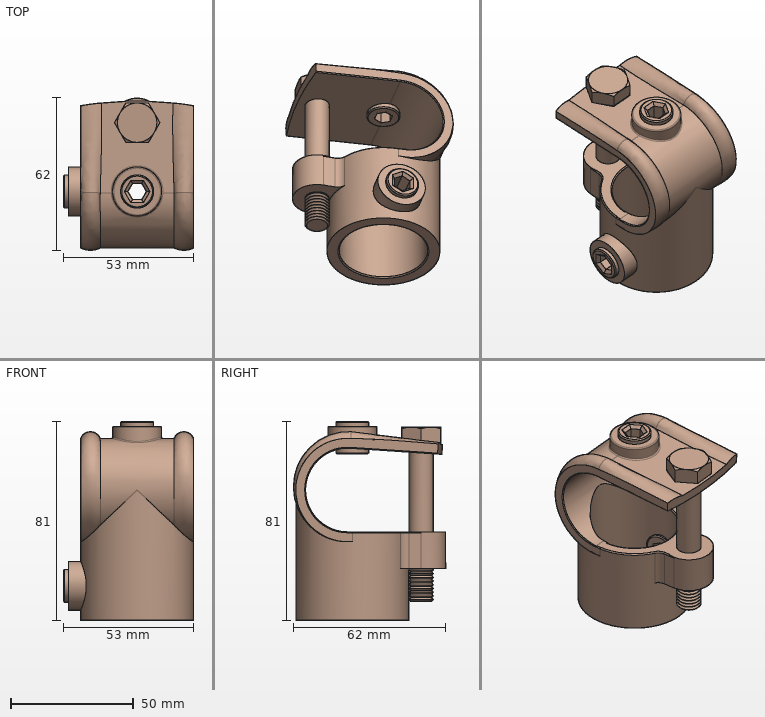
import cadquery as cq
import math

TUBE_OD = 46.0
TUBE_BORE = 36.0
TUBE_HEIGHT = 36.0
EDGE_CHAMFER = 0.5

STRAP_THICKNESS = 4.0
STRAP_INNER_RADIUS = 17.0
STRAP_OUTER_RADIUS = STRAP_INNER_RADIUS + STRAP_THICKNESS
STRAP_HALF_WIDTH = TUBE_OD / 2
STRAP_CENTER_Y = STRAP_OUTER_RADIUS - TUBE_OD / 2
STRAP_CENTER_Z = TUBE_HEIGHT + STRAP_INNER_RADIUS
TONGUE_SLOPE = math.radians(3.8)
TONGUE_TIP_Y = 36.8
TONGUE_TIP_RADIUS = 140.0
TRIM_ALLOWANCE = 5.0
BORE_EDGE_CHAMFER = 0.4

BEAD_WIDTH = 8.0
BEAD_CREST_RADIUS = 22.5
BEAD_CREST_SHIFT_Y = 0.5
BEAD_CREST_SHIFT_Z = 1.25
BEAD_TIP_HEIGHT = 0.4
BEAD_ROOT_DEPTH = 0.5
BEAD_ARC_STEPS = 8

LUG_CENTER_Y = 28.0
LUG_RADIUS = 10.0
LUG_HEIGHT = 15.0
LUG_FILLET = 4.0
LUG_BOTTOM_Z = TUBE_HEIGHT - LUG_HEIGHT

COLLAR_DIAMETER = 20.0
COLLAR_FILLET = 0.5
SIDE_COLLAR_FACE_X = -28.0
TOP_COLLAR_FACE_Z = 78.85
SCREW_DIAMETER = 13.5
SCREW_LENGTH = 13.3
SCREW_CHAMFER = 0.5
SOCKET_FLATS = 6.5
SOCKET_MOUTH_FLATS = 9.0
SIDE_SCREW_Z = 14.0
SIDE_SCREW_FACE_X = -30.0
TOP_SCREW_FACE_Z = 80.95

BOLT_DIAMETER = 10.0
THREAD_ROOT_DIAMETER = 8.5
THREAD_PITCH = 1.5
BOLT_TIP_Z = 7.7
BOLT_HEAD_Z = 72.2
BOLT_HEAD_HEIGHT = 6.4
BOLT_HEAD_FLATS = 16.0
HEAD_CHAMFER_ANGLE = math.radians(30)

TONGUE_ALONG = (math.cos(TONGUE_SLOPE), -math.sin(TONGUE_SLOPE))
TONGUE_NORMAL = (math.sin(TONGUE_SLOPE), math.cos(TONGUE_SLOPE))


def strap_point(radius, angle):
    """(Y, Z) on an arc about the strap axis, angle measured from +Y toward +Z."""
    y = STRAP_CENTER_Y + radius * math.cos(angle)
    z = STRAP_CENTER_Z + radius * math.sin(angle)
    return y, z


TONGUE_START_ANGLE = math.pi / 2 - TONGUE_SLOPE
STRAP_END_ANGLE = 3 * math.pi / 2
TONGUE_START = strap_point(STRAP_OUTER_RADIUS, TONGUE_START_ANGLE)
TONGUE_LENGTH = (TONGUE_TIP_Y - TONGUE_START[0]) / TONGUE_ALONG[0]
UNTRIMMED_LENGTH = TONGUE_LENGTH + TRIM_ALLOWANCE


def along_tongue(point, distance):
    """Point moved toward the tongue tip by a distance."""
    return point[0] + distance * TONGUE_ALONG[0], point[1] + distance * TONGUE_ALONG[1]


def hexagon_diameter(flats):
    """Corner-to-corner size of a hexagon given its width across flats."""
    return flats / math.cos(math.pi / 6)


def make_strap():
    """Bent plate with its inner side edges chamfered."""
    inner_start = strap_point(STRAP_INNER_RADIUS, TONGUE_START_ANGLE)
    strap = (
        cq.Workplane("YZ", origin=(-STRAP_HALF_WIDTH, 0, 0))
        .moveTo(0, STRAP_CENTER_Z - STRAP_OUTER_RADIUS)
        .lineTo(*strap_point(STRAP_OUTER_RADIUS, STRAP_END_ANGLE))
        .threePointArc(strap_point(STRAP_OUTER_RADIUS, math.pi), TONGUE_START)
        .lineTo(*along_tongue(TONGUE_START, UNTRIMMED_LENGTH))
        .lineTo(*along_tongue(inner_start, UNTRIMMED_LENGTH))
        .lineTo(*inner_start)
        .threePointArc(
            strap_point(STRAP_INNER_RADIUS, math.pi),
            strap_point(STRAP_INNER_RADIUS, STRAP_END_ANGLE),
        )
        .lineTo(0, TUBE_HEIGHT)
        .close()
        .extrude(2 * STRAP_HALF_WIDTH)
    )
    inner_arc_edges = cq.selectors.RadiusNthSelector(0)
    return strap.faces("|X").edges(inner_arc_edges).chamfer(BORE_EDGE_CHAMFER)


def bead_height(angle):
    """Bead height above the strap where its crest follows an off-centre circle."""
    shift = BEAD_CREST_SHIFT_Y * math.cos(angle) + BEAD_CREST_SHIFT_Z * math.sin(angle)
    side_shift = BEAD_CREST_SHIFT_Z * math.cos(angle) - BEAD_CREST_SHIFT_Y * math.sin(angle)
    return shift + math.sqrt(BEAD_CREST_RADIUS**2 - side_shift**2) - STRAP_OUTER_RADIUS


def bead_section(center_x, point, angle, height):
    """Circular-segment wire across the strap; angle is its outward direction.

    The arc meets the strap surface at the bead's edges and runs on below it to the root.
    """
    plane = cq.Plane(
        origin=(center_x, *point),
        xDir=(1, 0, 0),
        normal=(0, -math.sin(angle), math.cos(angle)),
    )
    arc_radius = (height**2 + (BEAD_WIDTH / 2) ** 2) / (2 * height)
    arc_center = height - arc_radius
    root_half_width = math.sqrt(arc_radius**2 - (BEAD_ROOT_DEPTH + arc_center) ** 2)
    outline = (
        cq.Workplane(plane)
        .moveTo(-root_half_width, -BEAD_ROOT_DEPTH)
        .threePointArc((0, height), (root_half_width, -BEAD_ROOT_DEPTH))
        .close()
    )
    return outline.val()


def make_bead(center_x):
    """Bead along the tongue and around the bend of the strap."""
    tip = bead_section(
        center_x, along_tongue(TONGUE_START, UNTRIMMED_LENGTH), TONGUE_START_ANGLE, BEAD_TIP_HEIGHT
    )
    arc_sections = []
    for step in range(BEAD_ARC_STEPS + 1):
        angle = TONGUE_START_ANGLE + (STRAP_END_ANGLE - TONGUE_START_ANGLE) * step / BEAD_ARC_STEPS
        point = strap_point(STRAP_OUTER_RADIUS, angle)
        arc_sections.append(bead_section(center_x, point, angle, bead_height(angle)))
    straight = cq.Solid.makeLoft([tip, arc_sections[0]], True)
    bend = cq.Solid.makeLoft(arc_sections)
    return cq.Workplane(straight).union(cq.Workplane(bend))


def make_tip_envelope():
    """Large cylinder square to the tongue, cut to the strap width.

    Its +Y side rounds the tongue tip in plan.
    """
    center_y, center_z = along_tongue(TONGUE_START, TONGUE_LENGTH - TONGUE_TIP_RADIUS)
    plane = cq.Plane(origin=(0, center_y, center_z), xDir=(1, 0, 0), normal=(0, *TONGUE_NORMAL))
    cylinder = cq.Workplane(plane).circle(TONGUE_TIP_RADIUS).extrude(TONGUE_TIP_RADIUS, both=True)
    slab_size = 4 * TONGUE_TIP_RADIUS
    slab = cq.Workplane("XY").box(2 * STRAP_HALF_WIDTH, slab_size, slab_size)
    return cylinder.intersect(slab)


def make_lug_web():
    """Flat-sided web that blends the lug into the tube with concave fillets."""
    tube_radius = TUBE_OD / 2
    fillet_x = LUG_RADIUS + LUG_FILLET
    fillet_y = math.sqrt((tube_radius + LUG_FILLET) ** 2 - fillet_x**2)
    on_tube = tube_radius / (tube_radius + LUG_FILLET)
    middle_angle = math.pi + math.atan2(fillet_y, fillet_x) / 2
    middle_x = fillet_x + LUG_FILLET * math.cos(middle_angle)
    middle_y = fillet_y + LUG_FILLET * math.sin(middle_angle)
    return (
        cq.Workplane("XY", origin=(0, 0, LUG_BOTTOM_Z))
        .moveTo(-LUG_RADIUS, LUG_CENTER_Y)
        .lineTo(-LUG_RADIUS, fillet_y)
        .threePointArc((-middle_x, middle_y), (-fillet_x * on_tube, fillet_y * on_tube))
        .lineTo(fillet_x * on_tube, fillet_y * on_tube)
        .threePointArc((middle_x, middle_y), (LUG_RADIUS, fillet_y))
        .lineTo(LUG_RADIUS, LUG_CENTER_Y)
        .close()
        .extrude(LUG_HEIGHT)
    )


def make_tube_bore():
    """Vertical passage up to the cross passage, with chamfered rims at both open ends."""
    radius = TUBE_BORE / 2
    passage = cq.Workplane("XY").circle(radius).extrude(STRAP_CENTER_Z)
    foot_rim = cq.Workplane(cq.Solid.makeCone(radius + EDGE_CHAMFER, radius, EDGE_CHAMFER))
    plus_y_block = cq.Workplane("XY").box(TUBE_OD, TUBE_OD, TUBE_HEIGHT, centered=(True, False, False))
    top_rim = (
        cq.Workplane(cq.Solid.makeCone(radius, radius + EDGE_CHAMFER, EDGE_CHAMFER))
        .translate((0, 0, TUBE_HEIGHT - EDGE_CHAMFER))
        .intersect(plus_y_block)
    )
    return passage.union(foot_rim).union(top_rim)


def make_cross_bore():
    """Round passage for the cross tube."""
    return (
        cq.Workplane("YZ", origin=(0, STRAP_CENTER_Y, STRAP_CENTER_Z))
        .circle(STRAP_INNER_RADIUS)
        .extrude(STRAP_HALF_WIDTH, both=True)
    )


def make_upright():
    """Solid tube blank with its lug; the -Y half rises into the strap."""
    tube = cq.Workplane("XY").circle(TUBE_OD / 2).extrude(TUBE_HEIGHT).union(make_lug_web())
    tube = tube.faces(">Z").edges("not |X").chamfer(EDGE_CHAMFER)
    lug = (
        cq.Workplane("XY", origin=(0, LUG_CENTER_Y, LUG_BOTTOM_Z))
        .circle(LUG_RADIUS)
        .extrude(LUG_HEIGHT)
    )
    neck_height = STRAP_CENTER_Z - LUG_BOTTOM_Z
    plus_y_block = cq.Workplane("XY").box(TUBE_OD, TUBE_OD, neck_height, centered=(True, False, False))
    neck = (
        cq.Workplane("XY", origin=(0, 0, LUG_BOTTOM_Z))
        .circle(TUBE_OD / 2)
        .extrude(neck_height)
        .cut(plus_y_block.translate((0, STRAP_CENTER_Y, LUG_BOTTOM_Z)))
        .cut(make_cross_bore())
    )
    return tube.union(lug).union(neck)


def add_top_collar(strap):
    """Strap with a collar standing on it, rounded at its upper rim and its foot."""
    collar_radius = COLLAR_DIAMETER / 2
    strap_top_z = STRAP_CENTER_Z + STRAP_OUTER_RADIUS
    base_z = strap_top_z - STRAP_THICKNESS / 2
    collar = (
        cq.Workplane("XY", origin=(0, 0, base_z))
        .circle(collar_radius)
        .extrude(TOP_COLLAR_FACE_Z - base_z)
        .faces(">Z")
        .edges()
        .fillet(COLLAR_FILLET)
    )
    foot_edges = cq.selectors.BoxSelector(
        (-collar_radius / 2, -collar_radius, strap_top_z - STRAP_THICKNESS / 2),
        (collar_radius / 2, collar_radius, strap_top_z),
    )
    return strap.union(collar).edges(foot_edges).fillet(COLLAR_FILLET)


def make_side_collar():
    """Collar on the -X side of the tube."""
    wall_middle_x = -(TUBE_OD + TUBE_BORE) / 4
    return (
        cq.Workplane("YZ", origin=(SIDE_COLLAR_FACE_X, 0, SIDE_SCREW_Z))
        .circle(COLLAR_DIAMETER / 2)
        .extrude(wall_middle_x - SIDE_COLLAR_FACE_X)
    )


def make_housing(holes):
    """Strap, beads, upright and collars as one body, with holes for the screws and bolt."""
    bead_x = STRAP_HALF_WIDTH - BEAD_WIDTH / 2
    envelope = make_tip_envelope()
    strap = make_strap().intersect(envelope)
    housing = add_top_collar(strap)
    for side in (-1, 1):
        housing = housing.union(make_bead(side * bead_x).intersect(envelope))
    housing = housing.union(make_upright()).union(make_side_collar())
    housing = housing.cut(make_tube_bore())
    for hole in holes:
        housing = housing.cut(hole)
    return housing


def make_set_screw():
    """Screw with its outer face at the origin and its shank along -Z."""
    bevel_depth = (SOCKET_MOUTH_FLATS - SOCKET_FLATS) / 2
    socket = (
        cq.Workplane("XY", origin=(0, 0, -SCREW_LENGTH))
        .polygon(6, hexagon_diameter(SOCKET_FLATS))
        .extrude(SCREW_LENGTH)
    )
    socket_mouth = (
        cq.Workplane("XY")
        .polygon(6, hexagon_diameter(SOCKET_MOUTH_FLATS))
        .workplane(offset=-bevel_depth)
        .polygon(6, hexagon_diameter(SOCKET_FLATS))
        .loft(ruled=True)
    )
    shank = (
        cq.Workplane("XY", origin=(0, 0, -SCREW_LENGTH))
        .circle(SCREW_DIAMETER / 2)
        .extrude(SCREW_LENGTH)
        .faces("|Z")
        .edges()
        .chamfer(SCREW_CHAMFER)
    )
    return shank.cut(socket).cut(socket_mouth)


def make_screw_hole():
    """Plain hole that matches a set screw, along the same axis."""
    return cq.Workplane("XY").circle(SCREW_DIAMETER / 2).extrude(-SCREW_LENGTH)


def place_top(body):
    """Move a screw-shaped body into the top of the strap."""
    return body.translate((0, 0, TOP_SCREW_FACE_Z))


def place_side(body):
    """Turn a screw-shaped body to face -X and move it into the side of the tube."""
    turned = body.rotate((0, 0, 0), (0, 1, 0), -90)
    return turned.translate((SIDE_SCREW_FACE_X, 0, SIDE_SCREW_Z))


def make_bolt_head():
    """Hexagon head with its corners turned to a cone at the top."""
    corner_radius = hexagon_diameter(BOLT_HEAD_FLATS) / 2
    flat_radius = BOLT_HEAD_FLATS / 2
    drop = (corner_radius - flat_radius) * math.tan(HEAD_CHAMFER_ANGLE)
    turned = (
        cq.Workplane("XZ")
        .lineTo(corner_radius, 0)
        .lineTo(corner_radius, BOLT_HEAD_HEIGHT - drop)
        .lineTo(flat_radius, BOLT_HEAD_HEIGHT)
        .lineTo(0, BOLT_HEAD_HEIGHT)
        .close()
        .revolve(360, (0, 0), (0, 1))
    )
    hexagon = cq.Workplane("XY").polygon(6, 2 * corner_radius).extrude(BOLT_HEAD_HEIGHT)
    return hexagon.intersect(turned).translate((0, LUG_CENTER_Y, BOLT_HEAD_Z))


def make_bolt():
    """Bolt along Z with ring grooves for the thread below the lug."""
    radius = BOLT_DIAMETER / 2
    root_radius = THREAD_ROOT_DIAMETER / 2
    ring_count = math.floor((LUG_BOTTOM_Z - BOLT_TIP_Z) / THREAD_PITCH)
    profile = cq.Workplane("XZ").lineTo(root_radius, 0)
    for ring in range(ring_count):
        ring_z = ring * THREAD_PITCH
        profile = profile.lineTo(radius, ring_z + THREAD_PITCH / 2)
        profile = profile.lineTo(root_radius, ring_z + THREAD_PITCH)
    thread_end_z = ring_count * THREAD_PITCH
    shank = (
        profile.lineTo(radius, thread_end_z + THREAD_PITCH / 2)
        .lineTo(radius, BOLT_HEAD_Z - BOLT_TIP_Z)
        .lineTo(0, BOLT_HEAD_Z - BOLT_TIP_Z)
        .close()
        .revolve(360, (0, 0), (0, 1))
        .translate((0, LUG_CENTER_Y, BOLT_TIP_Z))
    )
    return shank.union(make_bolt_head())


bolt = make_bolt()
top_screw = place_top(make_set_screw())
side_screw = place_side(make_set_screw())
bolt_hole = (
    cq.Workplane("XY", origin=(0, LUG_CENTER_Y, BOLT_TIP_Z))
    .circle(BOLT_DIAMETER / 2)
    .extrude(BOLT_HEAD_Z - BOLT_TIP_Z)
)
holes = [bolt_hole, make_bolt_head(), place_top(make_screw_hole()), place_side(make_screw_hole())]
housing = make_housing(holes)

result = cq.Compound.makeCompound([housing.val(), top_screw.val(), side_screw.val(), bolt.val()])